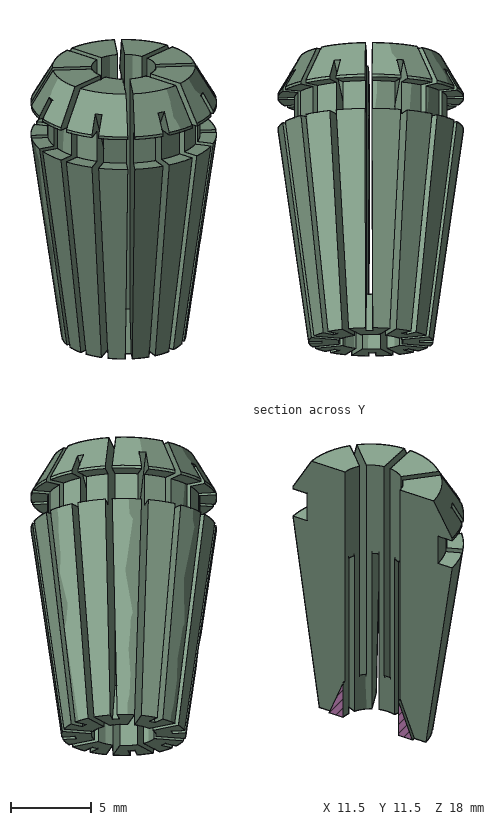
import cadquery as cq
import math

length = 18.0
max_diameter = 11.5
max_radius = max_diameter / 2
bore_radius = 2.0

head_angle = 30.0
rim_height = 0.18

groove_radius = 4.73
groove_top = 15.5
groove_bottom = 13.5
rim_top = groove_top + rim_height

body_angle = 8.0

slot_width = 0.43
slots_per_set = 8
slot_pitch = 360.0 / slots_per_set

top_slot_floor_height = 2.57
top_slot_bottom_radius = 3.02

bottom_slot_roof_height = 16.83
bottom_slot_roof_angle = 30.0

overshoot = 0.9


def head_radius_at(height):
    """Radius of the head cone at a height above its rim."""
    return max_radius - (height - rim_top) * math.tan(math.radians(head_angle))


def turned_body():
    """Solid of revolution with head, groove, taper and bore."""
    bottom_radius = max_radius - groove_bottom * math.tan(math.radians(body_angle))
    profile = [
        (bore_radius, 0),
        (bottom_radius, 0),
        (max_radius, groove_bottom),
        (groove_radius, groove_bottom),
        (groove_radius, groove_top),
        (max_radius, groove_top),
        (max_radius, rim_top),
        (head_radius_at(length), length),
        (bore_radius, length),
    ]
    return cq.Workplane("XZ").polyline(profile).close().revolve(360, (0, 0), (0, 1))


def radial_cutter(profile, angle):
    """Slot-wide plate from a (radius, height) profile, turned about Z."""
    plate = cq.Workplane("XZ").polyline(profile).close().extrude(slot_width / 2, both=True)
    return plate.rotate((0, 0, 0), (0, 0, 1), angle)


def top_slot_profile():
    """Open at the top; the floor slopes down and outward from the bore."""
    outside = max_radius + overshoot
    return [
        (0, length + overshoot),
        (0, top_slot_floor_height),
        (bore_radius, top_slot_floor_height),
        (top_slot_bottom_radius, 0),
        (outside, 0),
        (outside, length + overshoot),
    ]


def bottom_slot_profile():
    """Open at the bottom; the roof slopes up and outward from the bore."""
    outside = max_radius + overshoot
    roof_radius = head_radius_at(bottom_slot_roof_height)
    roof_run = roof_radius - bore_radius
    roof_drop = roof_run / math.tan(math.radians(bottom_slot_roof_angle))
    roof_start_height = bottom_slot_roof_height - roof_drop
    return [
        (0, -overshoot),
        (0, roof_start_height),
        (bore_radius, roof_start_height),
        (roof_radius, bottom_slot_roof_height),
        (outside, bottom_slot_roof_height),
        (outside, -overshoot),
    ]


result = turned_body()
for index in range(slots_per_set):
    top_slot_angle = index * slot_pitch
    bottom_slot_angle = top_slot_angle + slot_pitch / 2
    result = result.cut(radial_cutter(top_slot_profile(), top_slot_angle))
    result = result.cut(radial_cutter(bottom_slot_profile(), bottom_slot_angle))